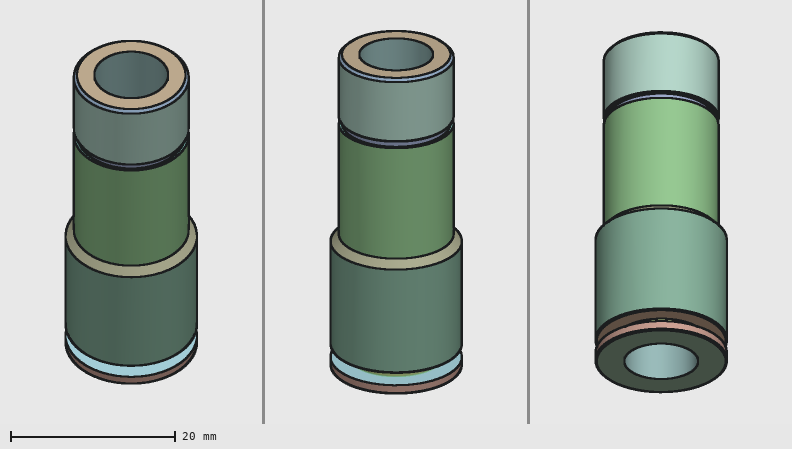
import cadquery as cq

BODY_DIAMETER = 16.0
COLLAR_DIAMETER = 16.0
NECK_DIAMETER = 11.4
STEM_DIAMETER = 14.0
GROOVE_DIAMETER = 13.2
BORE_DIAMETER = 9.0

TOTAL_HEIGHT = 42.0
COLLAR_HEIGHT = 1.2
NECK_HEIGHT = 1.6
BODY_HEIGHT = 15.0
HEAD_HEIGHT = 8.5
GROOVE_WIDTH = 0.8

SHOULDER_CHAMFER = (BODY_DIAMETER - STEM_DIAMETER) / 2
TOP_CHAMFER = 0.4
SMALL_CHAMFER = 0.15
NECK_FOOT_FILLET = 0.1

BODY_BOTTOM = COLLAR_HEIGHT + NECK_HEIGHT
BODY_TOP = BODY_BOTTOM + BODY_HEIGHT
HEAD_BOTTOM = TOTAL_HEIGHT - HEAD_HEIGHT
GROOVE_BOTTOM = HEAD_BOTTOM - GROOVE_WIDTH


def cylinder(diameter, bottom, top):
    """Solid cylinder on the Z axis between two levels."""
    return cq.Workplane("XY").workplane(offset=bottom).circle(diameter / 2).extrude(top - bottom)


def make_collar():
    """Release collar with a broken lower edge, and its narrower neck with a rounded foot."""
    collar = cylinder(COLLAR_DIAMETER, 0, COLLAR_HEIGHT).faces("<Z").chamfer(SMALL_CHAMFER)
    neck = cylinder(NECK_DIAMETER, COLLAR_HEIGHT, BODY_BOTTOM)
    smallest_circle = cq.selectors.RadiusNthSelector(0)
    return collar.union(neck).faces("<Z[1]").edges(smallest_circle).fillet(NECK_FOOT_FILLET)


def make_body():
    """Wide body with a conical shoulder that runs up to the stem diameter."""
    body = cylinder(BODY_DIAMETER, BODY_BOTTOM, BODY_TOP)
    return body.faces("<Z").chamfer(SMALL_CHAMFER).faces(">Z").chamfer(SHOULDER_CHAMFER)


def make_stem():
    """Plain stem, retaining groove and chamfered head."""
    stem = cylinder(STEM_DIAMETER, BODY_TOP, GROOVE_BOTTOM)
    groove_core = cylinder(GROOVE_DIAMETER, GROOVE_BOTTOM, HEAD_BOTTOM)
    head = cylinder(STEM_DIAMETER, HEAD_BOTTOM, TOTAL_HEIGHT)
    head = head.faces(">Z").chamfer(TOP_CHAMFER).faces("<Z").chamfer(SMALL_CHAMFER)
    return stem.union(groove_core).union(head)


bore = cylinder(BORE_DIAMETER, 0, TOTAL_HEIGHT)
result = make_collar().union(make_body()).union(make_stem()).cut(bore)